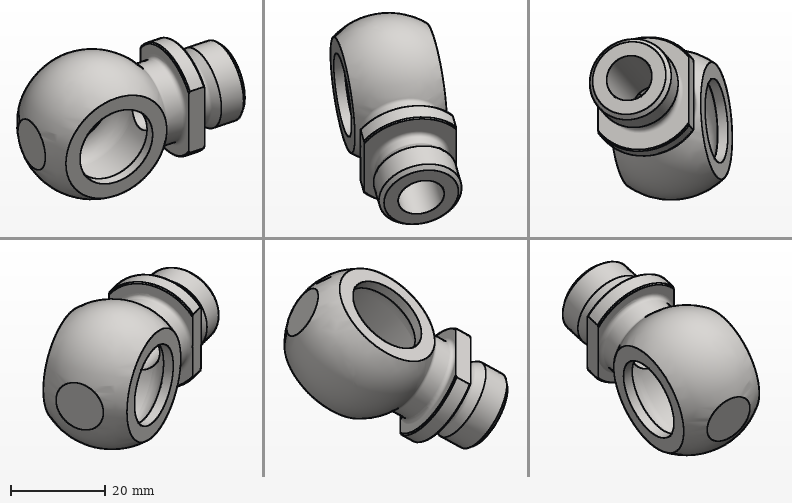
import cadquery as cq
import math

WIDTH = 20.0
LENGTH = 48.0
BALL_RADIUS = 32.0 / 2
FRONT_FLAT_Y = -15.0
EYE_HOLE_DIAMETER = 18.0
GROOVE_RADIUS = 12.7
GROOVE_FLOOR_WIDTH = 7.1
GROOVE_SIDE_RADIUS = 4.2

STEM_END_Y = FRONT_FLAT_Y + LENGTH
THREAD_RADIUS = 18.0 / 2
THREAD_LENGTH = 6.4
END_CHAMFER = 0.9
RUNOUT_ANGLE = math.radians(30)
UNDERCUT_RADIUS = 15.7 / 2
FLANGE_RADIUS = 25.45 / 2
FLANGE_THICKNESS = 4.0
FLANGE_BACK_Y = STEM_END_Y - 11.1
FLANGE_CHAMFER = 0.3
NECK_RADIUS = 18.5 / 2
BLEND_RADIUS = 0.95
BORE_DIAMETER = 10.0


def make_ball():
    """Sphere cut flat at the front."""
    size = 2 * LENGTH
    keep = cq.Workplane("XY").box(size, size, size).translate((0, FRONT_FLAT_Y + size / 2, 0))
    return cq.Workplane("XY").sphere(BALL_RADIUS).intersect(keep)


def make_stem():
    """Revolved stem with its concave corners blended; it starts inside the ball."""
    blend_center_radius = NECK_RADIUS + BLEND_RADIUS
    blend_center_distance = BALL_RADIUS + BLEND_RADIUS
    neck_start_y = math.sqrt(blend_center_distance**2 - blend_center_radius**2)
    ball_share = BALL_RADIUS / blend_center_distance
    ball_touch = (blend_center_radius * ball_share, neck_start_y * ball_share)

    flange_front_y = FLANGE_BACK_Y - FLANGE_THICKNESS
    flange_rim = FLANGE_RADIUS - FLANGE_CHAMFER

    cone_start_y = STEM_END_Y - THREAD_LENGTH
    cone_end_y = cone_start_y - (THREAD_RADIUS - UNDERCUT_RADIUS) / math.tan(RUNOUT_ANGLE)
    setback = BLEND_RADIUS * math.tan(RUNOUT_ANGLE / 2)
    cone_touch = (
        UNDERCUT_RADIUS + setback * math.sin(RUNOUT_ANGLE),
        cone_end_y + setback * math.cos(RUNOUT_ANGLE),
    )

    profile = (
        cq.Workplane("XY")
        .lineTo(ball_touch[0], 0)
        .lineTo(*ball_touch)
        .radiusArc((NECK_RADIUS, neck_start_y), BLEND_RADIUS)
        .lineTo(NECK_RADIUS, flange_front_y - BLEND_RADIUS)
        .radiusArc((NECK_RADIUS + BLEND_RADIUS, flange_front_y), BLEND_RADIUS)
        .lineTo(flange_rim, flange_front_y)
        .lineTo(FLANGE_RADIUS, flange_front_y + FLANGE_CHAMFER)
        .lineTo(FLANGE_RADIUS, FLANGE_BACK_Y - FLANGE_CHAMFER)
        .lineTo(flange_rim, FLANGE_BACK_Y)
        .lineTo(UNDERCUT_RADIUS + BLEND_RADIUS, FLANGE_BACK_Y)
        .radiusArc((UNDERCUT_RADIUS, FLANGE_BACK_Y + BLEND_RADIUS), BLEND_RADIUS)
        .lineTo(UNDERCUT_RADIUS, cone_end_y - setback)
        .radiusArc(cone_touch, BLEND_RADIUS)
        .lineTo(THREAD_RADIUS, cone_start_y)
        .lineTo(THREAD_RADIUS, STEM_END_Y - END_CHAMFER)
        .lineTo(THREAD_RADIUS - END_CHAMFER, STEM_END_Y)
        .lineTo(0, STEM_END_Y)
        .close()
    )
    return profile.revolve(360, (0, 0, 0), (0, 1, 0))


def make_groove():
    """Ring groove inside the eye; its rounded sides run tangent into a cylindrical floor."""
    half_floor = GROOVE_FLOOR_WIDTH / 2
    mouth_radius = EYE_HOLE_DIAMETER / 2
    arc_center_radius = GROOVE_RADIUS - GROOVE_SIDE_RADIUS
    half_mouth = half_floor + math.sqrt(GROOVE_SIDE_RADIUS**2 - (mouth_radius - arc_center_radius)**2)
    profile = (
        cq.Workplane("XY")
        .moveTo(-half_mouth, 0)
        .lineTo(-half_mouth, mouth_radius)
        .radiusArc((-half_floor, GROOVE_RADIUS), GROOVE_SIDE_RADIUS)
        .lineTo(half_floor, GROOVE_RADIUS)
        .radiusArc((half_mouth, mouth_radius), GROOVE_SIDE_RADIUS)
        .lineTo(half_mouth, 0)
        .close()
    )
    return profile.revolve(360, (0, 0, 0), (1, 0, 0))


side_limits = cq.Workplane("XY").box(WIDTH, 3 * LENGTH, LENGTH)
body = make_ball().union(make_stem()).intersect(side_limits)

eye_hole = cq.Workplane("YZ").circle(EYE_HOLE_DIAMETER / 2).extrude(WIDTH / 2, both=True)
bore = cq.Workplane("XZ").circle(BORE_DIAMETER / 2).extrude(-STEM_END_Y)

result = body.cut(eye_hole).cut(make_groove()).cut(bore)